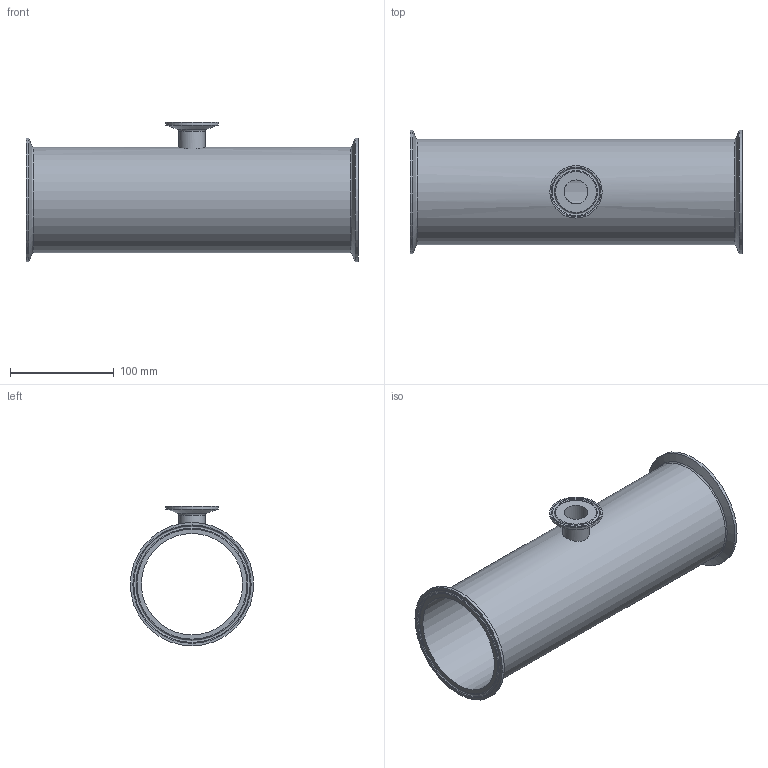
import cadquery as cq
import math

tube_length = 320.0
tube_outer_diameter = 101.6
tube_inner_diameter = 97.6

branch_outer_diameter = 25.4
branch_inner_diameter = 23.0
branch_face_height = 75.2

end_rim_diameter = 119.0
branch_rim_diameter = 50.5
rim_thickness = 2.85
cone_angle = math.radians(20.0)
end_neck_fillet = 1.5
branch_neck_fillet = 2.0

end_groove_diameter = 110.0
branch_groove_diameter = 43.5
groove_radius = 1.25
groove_lip_radius = 1.0


def ferrule(tube_diameter, rim_diameter, neck_fillet, groove_diameter):
    """Solid ferrule about Z, with its grooved face at Z = 0 and its neck toward -Z."""
    tube_radius = tube_diameter / 2
    rim_radius = rim_diameter / 2

    fillet_center_r = tube_radius + neck_fillet
    cone_end_r = fillet_center_r - neck_fillet * math.sin(cone_angle)
    cone_end_z = -rim_thickness - (rim_radius - cone_end_r) * math.tan(cone_angle)
    neck_z = cone_end_z - neck_fillet * math.cos(cone_angle)
    middle_angle = (math.pi + math.pi / 2 + cone_angle) / 2
    fillet_middle = (
        fillet_center_r + neck_fillet * math.cos(middle_angle),
        neck_z + neck_fillet * math.sin(middle_angle),
    )

    body = (
        cq.Workplane("XZ")
        .lineTo(rim_radius, 0)
        .lineTo(rim_radius, -rim_thickness)
        .lineTo(cone_end_r, cone_end_z)
        .threePointArc(fillet_middle, (tube_radius, neck_z))
        .lineTo(0, neck_z)
        .close()
        .revolve(360, (0, 0, 0), (0, 1, 0))
    )
    return body.cut(gasket_groove(groove_diameter))


def gasket_groove(groove_diameter):
    """Ring that cuts a round-bottomed groove with rounded lips into the face at Z = 0."""
    center_r = groove_diameter / 2
    lip_center_offset = math.sqrt((groove_radius + groove_lip_radius) ** 2 - groove_lip_radius**2)
    touch_fraction = groove_radius / (groove_radius + groove_lip_radius)
    touch_offset = lip_center_offset * touch_fraction
    touch_z = -groove_lip_radius * touch_fraction
    lip_angle = math.atan2(groove_lip_radius, lip_center_offset)
    lip_middle_angle = (math.pi / 2 + math.pi - lip_angle) / 2
    lip_middle_offset = lip_center_offset + groove_lip_radius * math.cos(lip_middle_angle)
    lip_middle_z = groove_lip_radius * (math.sin(lip_middle_angle) - 1)
    return (
        cq.Workplane("XZ")
        .moveTo(center_r - lip_center_offset, 0)
        .threePointArc((center_r - lip_middle_offset, lip_middle_z), (center_r - touch_offset, touch_z))
        .threePointArc((center_r, -groove_radius), (center_r + touch_offset, touch_z))
        .threePointArc((center_r + lip_middle_offset, lip_middle_z), (center_r + lip_center_offset, 0))
        .close()
        .revolve(360, (0, 0, 0), (0, 1, 0))
    )


def cylinder_along_x(diameter):
    return cq.Workplane("YZ").circle(diameter / 2).extrude(tube_length / 2, both=True)


def cylinder_up(diameter):
    return cq.Workplane("XY").circle(diameter / 2).extrude(branch_face_height)


def end_ferrule(side):
    """End ferrule at +X (side = 1) or -X (side = -1)."""
    blank = ferrule(tube_outer_diameter, end_rim_diameter, end_neck_fillet, end_groove_diameter)
    return blank.rotate((0, 0, 0), (0, 1, 0), side * 90).translate((side * tube_length / 2, 0, 0))


branch_ferrule = ferrule(
    branch_outer_diameter, branch_rim_diameter, branch_neck_fillet, branch_groove_diameter
).translate((0, 0, branch_face_height))

outside = cylinder_along_x(tube_outer_diameter)
outside = outside.union(cylinder_up(branch_outer_diameter)).union(branch_ferrule)
for side in (-1, 1):
    outside = outside.union(end_ferrule(side))

result = outside.cut(cylinder_along_x(tube_inner_diameter)).cut(cylinder_up(branch_inner_diameter))